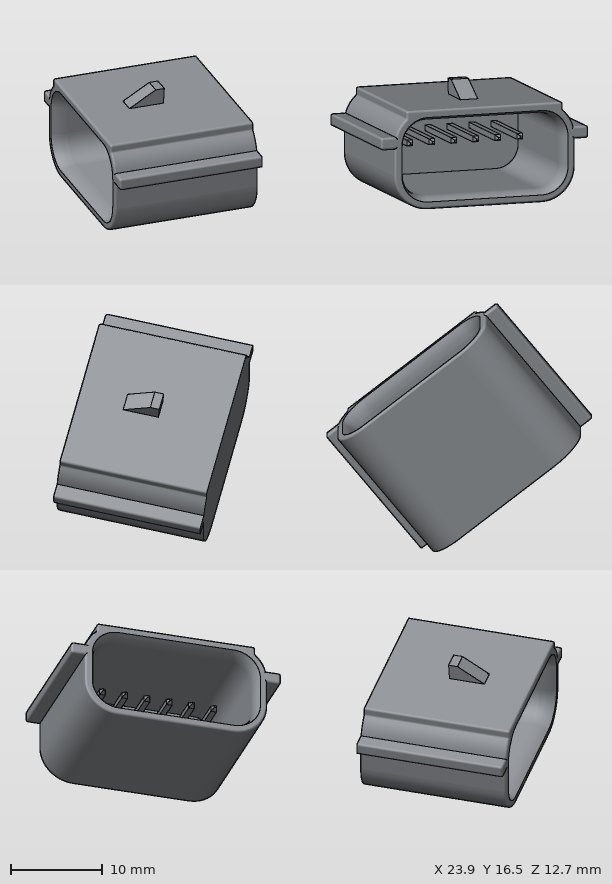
import cadquery as cq


overall_height = 12.65

length = 16.5
housing_width = 20.76
housing_height = 10.9
corner_radius = 3.8
top_plate_width = 18.0
top_plate_thickness = 1.5
edge_round = 0.25

rib_span = 23.87
rib_top = 8.1
rib_thickness = 1.3

wall = 0.78
lead_in_inset = 0.43
lead_in_depth = 1.75
cavity_depth = 15.0

pin_count = 6
pin_pitch = 2.54
pin_size = 0.64
pin_tip_size = 0.2
pin_tip_length = 0.6
pin_length = 9.0
pin_height = 6.2

latch_width = 2.0
latch_toe_y = 5.15
latch_crest_y = 8.2
latch_heel_y = 9.1
latch_overhang = 0.1

housing_middle = housing_height / 2
top_plate_bottom = housing_height - top_plate_thickness
rib_bottom = rib_top - rib_thickness


def section_plane(y):
    """Plane across the part at depth y, centred on the housing, extruding toward the rear."""
    return cq.Plane(origin=(0, y, housing_middle), xDir=(-1, 0, 0), normal=(0, 1, 0))


def rounded_section(inset):
    """Housing outline moved inward by inset, keeping the same corner centres."""
    width = housing_width - 2 * inset
    height = housing_height - 2 * inset
    return cq.Sketch().rect(width, height).vertices().fillet(corner_radius - inset)


def full_length_bar(width, bottom, top):
    """Block running the whole length, centred in X, between two heights."""
    bar = cq.Workplane("XY").box(width, length, top - bottom, centered=(True, False, False))
    return bar.translate((0, 0, bottom))


def round_long_edges(solid, half_width, bottom, top):
    """Round the lengthwise edges on both sides at half_width, between two heights."""
    margin = edge_round / 2
    for side in (-1, 1):
        edge_x = side * half_width
        region = cq.selectors.BoxSelector(
            (edge_x - margin, 0, bottom - margin),
            (edge_x + margin, length, top + margin),
        )
        solid = solid.edges("|Y").edges(region).fillet(edge_round)
    return solid


def make_shell():
    """Outer housing body with its top plate, side ribs and rounded edges."""
    body = cq.Workplane(section_plane(0)).placeSketch(rounded_section(0)).extrude(length)
    plate = full_length_bar(top_plate_width, top_plate_bottom, housing_height)
    ribs = full_length_bar(rib_span, rib_bottom, rib_top)
    shell = body.union(plate).union(ribs)
    shell = round_long_edges(shell, top_plate_width / 2, top_plate_bottom, housing_height)
    shell = round_long_edges(shell, rib_span / 2, rib_bottom, rib_top)
    return shell.faces("<Y").edges().fillet(edge_round)


def make_lead_in(pocket_section):
    """Flared mouth whose walls curve outward from the pocket, tangent to it at the inner end."""
    flare_radius = (lead_in_depth**2 + lead_in_inset**2) / (2 * lead_in_inset)
    flare_start_y = lead_in_depth - flare_radius
    collar_depth = 2 * flare_radius
    collar_size = housing_width + 4 * flare_radius

    collar_base = cq.Workplane(section_plane(flare_start_y))
    opening = collar_base.placeSketch(pocket_section).extrude(collar_depth)
    collar = collar_base.rect(collar_size, collar_size).extrude(collar_depth).cut(opening)
    opening_edges = cq.selectors.BoxSelector(
        (-housing_width / 2, flare_start_y - edge_round, 0),
        (housing_width / 2, flare_start_y + edge_round, housing_height),
    )
    collar = collar.faces("<Y").edges(opening_edges).fillet(flare_radius)

    blank = cq.Workplane(section_plane(0)).rect(housing_width, housing_height).extrude(lead_in_depth)
    return blank.cut(collar)


def make_cavity():
    """Straight pocket plus the flared lead-in at the mouth."""
    pocket_section = rounded_section(wall + lead_in_inset)
    pocket = cq.Workplane(section_plane(0)).placeSketch(pocket_section).extrude(cavity_depth)
    return pocket.union(make_lead_in(pocket_section))


def make_pin(x):
    """Square pin rising from the cavity end wall, with a tapered tip toward the mouth."""
    pin_plane = cq.Plane(origin=(x, cavity_depth, pin_height), xDir=(1, 0, 0), normal=(0, -1, 0))
    shank_length = pin_length - pin_tip_length
    shank = cq.Workplane(pin_plane).rect(pin_size, pin_size).extrude(shank_length)
    tip = (
        cq.Workplane(pin_plane)
        .workplane(offset=shank_length)
        .rect(pin_size, pin_size)
        .workplane(offset=pin_tip_length)
        .rect(pin_tip_size, pin_tip_size)
        .loft()
    )
    return shank.union(tip)


def make_latch():
    """Ramp that rises from the toe to a flat crest and drops off with a slight overhang."""
    profile = [
        (latch_toe_y, housing_height),
        (latch_crest_y, overall_height),
        (latch_heel_y + latch_overhang, overall_height),
        (latch_heel_y, housing_height),
    ]
    return cq.Workplane("YZ").polyline(profile).close().extrude(latch_width / 2, both=True)


result = make_shell().cut(make_cavity()).union(make_latch())
for index in range(pin_count):
    pin_x = (index - (pin_count - 1) / 2) * pin_pitch
    result = result.union(make_pin(pin_x))